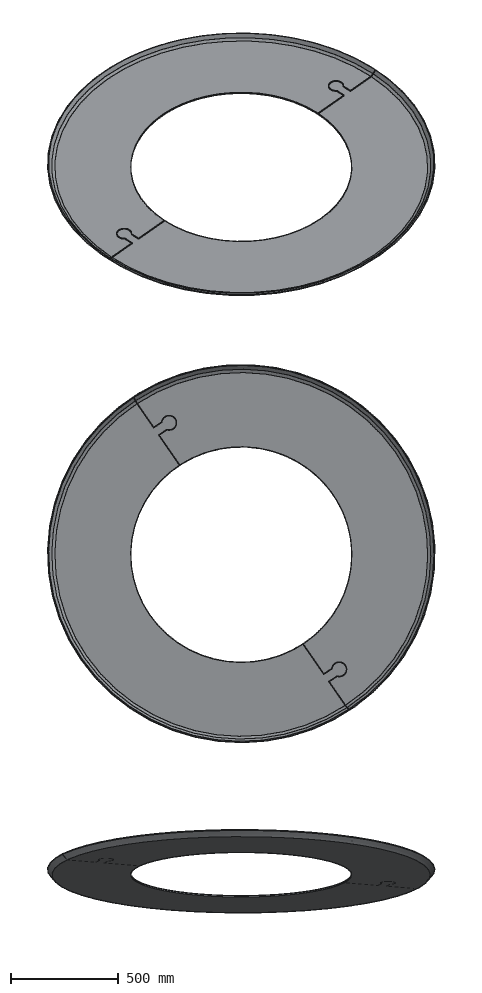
import cadquery as cq

outer_radius = 900.0
height = 30.0
bore_radius = 513.0

floor_thickness = 7.0
floor_radius = 865.0
slope_break_radius = 880.0
slope_break_height = 15.0
rim_tip_radius = 895.0

base_radius = 878.0
flank_start_radius = 885.0
flank_start_height = 9.0
rim_edge_height = 25.0

seam_width = 2.0
seam_depth = 4.0

tab_y = 707.0
tab_neck_width = 43.0
tab_head_radius = 35.0
tab_head_x = -72.0
tab_root_overlap = 9.0


def upper_surface_points(depth=0.0):
    """Radius and height along the dished upper surface, lowered by depth."""
    return [
        (rim_tip_radius, height - depth),
        (slope_break_radius, slope_break_height - depth),
        (floor_radius, floor_thickness - depth),
        (bore_radius, floor_thickness - depth),
    ]


def revolve_profile(points):
    profile = cq.Workplane("XZ").polyline(points).close()
    return profile.revolve(360, (0, 0, 0), (0, 1, 0))


def ring_body():
    underside = [
        (bore_radius, 0),
        (base_radius, 0),
        (flank_start_radius, flank_start_height),
        (outer_radius, rim_edge_height),
    ]
    return revolve_profile(underside + upper_surface_points())


def half_outline(offset):
    """Prism over the +X half with its two tabs, grown outward by offset."""
    half = cq.Workplane("XY").box(
        outer_radius + offset, 2 * outer_radius, height, centered=(False, True, False)
    ).translate((-offset, 0, 0))
    for y in (-tab_y, tab_y):
        neck = (
            cq.Workplane("XY")
            .center((tab_head_x + tab_root_overlap) / 2, y)
            .rect(tab_root_overlap - tab_head_x, tab_neck_width + 2 * offset)
            .extrude(height)
        )
        head = cq.Workplane("XY").center(tab_head_x, y).circle(tab_head_radius + offset).extrude(height)
        half = half.union(neck).union(head)
    return half


def seam_groove():
    """Thin wall around the half outline, kept only just below the upper surface."""
    wall = half_outline(seam_width / 2).cut(half_outline(-seam_width / 2))
    skin = revolve_profile(upper_surface_points() + upper_surface_points(seam_depth)[::-1])
    return wall.intersect(skin)


result = ring_body().cut(seam_groove())